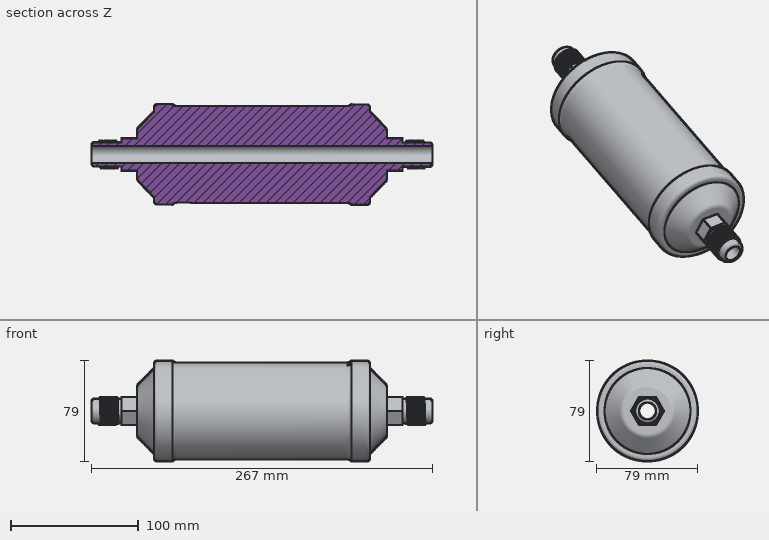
import cadquery as cq
import math

total_length = 267.0
half_length = total_length / 2
body_radius = 76.0 / 2
cap_radius = 79.0 / 2
bore_diameter = 13.0

thread_start = 5.3
thread_end = 21.4
hex_start = 23.5
cone_start = 35.5
cap_start = 48.9
cap_band_end = 63.3
weld_length = 3.2

cap_round = 3.0
cone_base_radius = 33.6
cone_flat_radius = 18.2
cone_angle = math.radians(46)
cone_round = 4.5

shank_radius = 19.5 / 2
thread_radius = 22.2 / 2
thread_pitch = 1.82
thread_root_width = 1.5
thread_overlap = 0.3
nose_round = 2.7
hex_across_flats = 22.2
hex_across_corners = hex_across_flats / math.cos(math.pi / 6)


def round_offset(radius, angle):
    """Axial and radial reach of an arc leaving a flat end face and turning by angle."""
    return radius * (1 - math.cos(angle)), radius * math.sin(angle)


def make_cap():
    """End cap, from the flat face of the cone to the end of the weld."""
    face_x = cone_start - half_length
    cap_x = cap_start - half_length
    band_end_x = cap_band_end - half_length
    weld_end_x = band_end_x + weld_length
    mid_dx, mid_dr = round_offset(cone_round, cone_angle / 2)
    end_dx, end_dr = round_offset(cone_round, cone_angle)
    cap_dx, cap_dr = round_offset(cap_round, math.pi / 4)
    cap_flat_radius = cap_radius - cap_round

    weld_step = cap_radius - body_radius
    weld_radius = (weld_length**2 + weld_step**2) / (2 * weld_step)
    weld_mid_x = band_end_x + weld_length / 2
    weld_mid_radius = body_radius + weld_radius - math.sqrt(weld_radius**2 - (weld_length / 2)**2)

    profile = (
        cq.Workplane("XY")
        .moveTo(face_x, 0)
        .lineTo(face_x, cone_flat_radius)
        .threePointArc(
            (face_x + mid_dx, cone_flat_radius + mid_dr),
            (face_x + end_dx, cone_flat_radius + end_dr),
        )
        .lineTo(cap_x, cone_base_radius)
        .lineTo(cap_x, cap_flat_radius)
        .threePointArc((cap_x + cap_dx, cap_flat_radius + cap_dr), (cap_x + cap_round, cap_radius))
        .lineTo(band_end_x, cap_radius)
        .threePointArc((weld_mid_x, weld_mid_radius), (weld_end_x, body_radius))
        .lineTo(weld_end_x, 0)
        .close()
    )
    return profile.revolve(360, (0, 0, 0), (1, 0, 0))


def make_thread():
    """Helical triangular ridge whose root is sunk slightly into the shank."""
    first_x = thread_start + thread_root_width / 2
    last_x = thread_end - thread_root_width / 2
    root_radius = shank_radius - thread_overlap
    helix = cq.Wire.makeHelix(thread_pitch, last_x - first_x, root_radius)
    ridge = (
        cq.Workplane("XZ")
        .moveTo(root_radius, -thread_root_width / 2)
        .lineTo(thread_radius, 0)
        .lineTo(root_radius, thread_root_width / 2)
        .close()
        .sweep(cq.Workplane(helix), isFrenet=True)
    )
    return ridge.rotate((0, 0, 0), (0, 1, 0), 90).translate((first_x - half_length, 0, 0))


def make_fitting():
    """Rounded nose and threaded shank, plus the hexagon behind them."""
    tip_x = -half_length
    nose_dx, nose_dr = round_offset(nose_round, math.pi / 4)
    tip_radius = shank_radius - nose_round

    profile = (
        cq.Workplane("XY")
        .moveTo(tip_x, 0)
        .lineTo(tip_x, tip_radius)
        .threePointArc((tip_x + nose_dx, tip_radius + nose_dr), (tip_x + nose_round, shank_radius))
        .lineTo(tip_x + cone_start, shank_radius)
        .lineTo(tip_x + cone_start, 0)
        .close()
    )
    shank = profile.revolve(360, (0, 0, 0), (1, 0, 0))

    hexagon = (
        cq.Workplane("YZ", origin=(tip_x + hex_start, 0, 0))
        .polygon(6, hex_across_corners)
        .extrude(cone_start - hex_start)
    )
    return shank.union(make_thread()).union(hexagon)


def make_rod(radius, length):
    """Plain cylinder along X, centred on the middle of the part."""
    return cq.Workplane("YZ", origin=(-length / 2, 0, 0)).circle(radius).extrude(length)


body = make_rod(body_radius, total_length - 2 * (cap_band_end + weld_length))
left_end = make_cap().union(make_fitting())
right_end = left_end.rotate((0, 0, 0), (0, 0, 1), 180)
result = body.union(left_end).union(right_end).cut(make_rod(bore_diameter / 2, total_length))